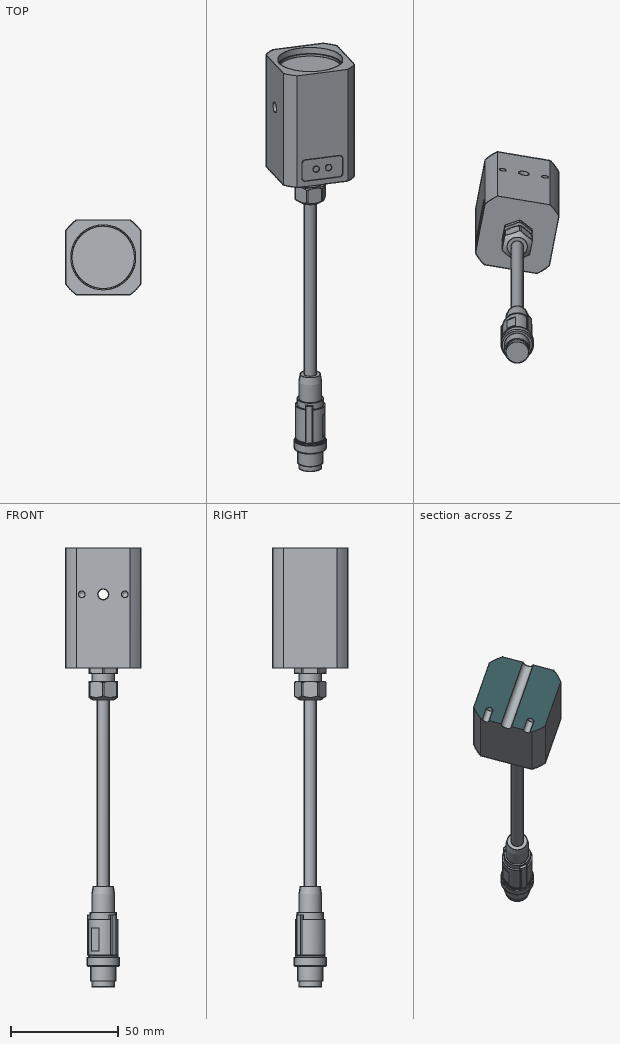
import cadquery as cq
import math

TOTAL_HEIGHT = 204.3
HOUSING_HEIGHT = 56.0
HOUSING_BOTTOM = TOTAL_HEIGHT - HOUSING_HEIGHT

HOUSING_WIDTH = 35.0
CORNER_RADIUS = 21.5
WINDOW_RADIUS = 15.1
WINDOW_MOUTH_DEPTH = 3.0
LENS_RADIUS = 14.5
LENS_DEPTH = 4.0
CROSS_HOLE_DIAMETER = 5.0
SCREW_HOLE_DIAMETER = 3.0
SCREW_HOLE_SPACING = 20.0
SCREW_HOLE_DEPTH = 6.1
DRILL_TIP_ANGLE = 118.0
HOLE_ROW_Z = TOTAL_HEIGHT - 21.7

PANEL_WIDTH = 20.0
PANEL_HEIGHT = 10.6
PANEL_CORNER = 1.6
PANEL_DEPTH = 0.5
PANEL_Z = HOUSING_BOTTOM + 8.0
LED_DIAMETER = 3.0
LED_SPACING = 6.1

GLAND_ACROSS_FLATS = 13.0
GLAND_CORNER_RADIUS = 7.4
FLANGE_HEIGHT = 2.5
NECK_RADIUS = 5.3
NECK_HEIGHT = 3.7
NUT_HEIGHT = 7.0
NUT_CHAMFER = 0.6
NUT_END_RADIUS = 4.7
NUT_TAPER_HEIGHT = 1.8
FLANGE_BOTTOM = HOUSING_BOTTOM - FLANGE_HEIGHT
NUT_TOP = FLANGE_BOTTOM - NECK_HEIGHT
NUT_BOTTOM = NUT_TOP - NUT_HEIGHT
GLAND_BOTTOM = NUT_BOTTOM - NUT_TAPER_HEIGHT

CABLE_RADIUS = 2.9
PLUG_TOP = 46.8
SLEEVE_TOP_RADIUS = 4.7
SLEEVE_RADIUS = 5.3
SLEEVE_TAPER_BOTTOM = 43.1
SHOULDER_TOP = 34.5
SHOULDER_BOTTOM = 31.5
SHOULDER_RADIUS = 6.1
BARREL_RADIUS = 7.0
BARREL_BOTTOM = 15.0
GROOVE_RADIUS = 6.5
GROOVE_BOTTOM = 14.3
COLLAR_TOP = 13.7
COLLAR_BOTTOM = 9.5
COLLAR_RADIUS = 7.5
COLLAR_CHAMFER = 0.6
NOSE_RADIUS = 6.0
NOSE_BOTTOM = 2.7
TIP_RADIUS = 5.3

LABEL_ANGLE = 234.5
LABEL_WIDTH = 4.3
LABEL_HEIGHT = 10.8
LABEL_CENTER_Z = 22.0
GRIP_OFFSET_ANGLE = 78.0
GRIP_WIDTH = 3.5
GRIP_REACH = 7.4
GRIP_TOP = 33.5
GRIP_CHAMFER = 0.5


def cylinder(radius, bottom, top):
    return cq.Workplane("XY").workplane(offset=bottom).circle(radius).extrude(top - bottom)


def turned(profile):
    """Solid of revolution about Z from (radius, height) points."""
    return cq.Workplane("XZ").polyline(profile).close().revolve(360, (0, 0, 0), (0, 1, 0))


def blind_screw_hole(x):
    """Drilled hole entering the -Y face, with a conical bottom."""
    radius = SCREW_HOLE_DIAMETER / 2
    tip_length = radius / math.tan(math.radians(DRILL_TIP_ANGLE / 2))
    profile = [(0, 0), (radius, 0), (radius, SCREW_HOLE_DEPTH), (0, SCREW_HOLE_DEPTH + tip_length)]
    drill = cq.Workplane("XY").polyline(profile).close().revolve(360, (0, 0, 0), (0, 1, 0))
    return drill.translate((x, -HOUSING_WIDTH / 2, HOLE_ROW_Z))


def indicator_panel_recess():
    """Shallow rounded recess in the -X face that leaves two round LED lenses standing."""
    panel = (
        cq.Workplane("YZ", origin=(-HOUSING_WIDTH / 2, 0, PANEL_Z))
        .rect(PANEL_WIDTH, PANEL_HEIGHT)
        .extrude(PANEL_DEPTH)
        .edges("|X")
        .fillet(PANEL_CORNER)
    )
    leds = (
        cq.Workplane("YZ", origin=(-HOUSING_WIDTH / 2, 0, PANEL_Z))
        .pushPoints([(-LED_SPACING / 2, 0), (LED_SPACING / 2, 0)])
        .circle(LED_DIAMETER / 2)
        .extrude(PANEL_DEPTH)
    )
    return panel.cut(leds)


def make_housing():
    block = (
        cq.Workplane("XY", origin=(0, 0, HOUSING_BOTTOM))
        .rect(HOUSING_WIDTH, HOUSING_WIDTH)
        .extrude(HOUSING_HEIGHT)
    )
    body = block.intersect(cylinder(CORNER_RADIUS, HOUSING_BOTTOM, TOTAL_HEIGHT))

    body = body.cut(cylinder(WINDOW_RADIUS, TOTAL_HEIGHT - WINDOW_MOUTH_DEPTH, TOTAL_HEIGHT))
    body = body.cut(cylinder(LENS_RADIUS, TOTAL_HEIGHT - LENS_DEPTH, TOTAL_HEIGHT))

    cross_hole = (
        cq.Workplane("XZ", origin=(0, 0, HOLE_ROW_Z))
        .circle(CROSS_HOLE_DIAMETER / 2)
        .extrude(HOUSING_WIDTH / 2, both=True)
    )
    body = body.cut(cross_hole)
    for side in (-1, 1):
        body = body.cut(blind_screw_hole(side * SCREW_HOLE_SPACING / 2))

    return body.cut(indicator_panel_recess())


def hexagon(bottom, top):
    """Hexagonal prism with flats facing +X and -X."""
    half_sector = math.pi / 6
    corner_diameter = GLAND_ACROSS_FLATS / math.cos(half_sector)
    prism = cq.Workplane("XY").polygon(6, corner_diameter).extrude(top - bottom)
    return prism.rotate((0, 0, 0), (0, 0, 1), math.degrees(half_sector)).translate((0, 0, bottom))


def make_gland():
    flange = hexagon(FLANGE_BOTTOM, HOUSING_BOTTOM).intersect(
        cylinder(GLAND_CORNER_RADIUS, FLANGE_BOTTOM, HOUSING_BOTTOM)
    )
    neck = cylinder(NECK_RADIUS, NUT_TOP, FLANGE_BOTTOM)
    nut_profile = [
        (0, NUT_TOP),
        (GLAND_CORNER_RADIUS - NUT_CHAMFER, NUT_TOP),
        (GLAND_CORNER_RADIUS, NUT_TOP - NUT_CHAMFER),
        (GLAND_CORNER_RADIUS, NUT_BOTTOM),
        (NUT_END_RADIUS, GLAND_BOTTOM),
        (0, GLAND_BOTTOM),
    ]
    nut_envelope = turned(nut_profile)
    nut = hexagon(GLAND_BOTTOM, NUT_TOP).intersect(nut_envelope)
    return flange.union(neck).union(nut)


def make_plug():
    profile = [
        (0, PLUG_TOP),
        (SLEEVE_TOP_RADIUS, PLUG_TOP),
        (SLEEVE_RADIUS, SLEEVE_TAPER_BOTTOM),
        (SLEEVE_RADIUS, SHOULDER_TOP),
        (SHOULDER_RADIUS, SHOULDER_TOP),
        (SHOULDER_RADIUS, SHOULDER_BOTTOM),
        (BARREL_RADIUS, SHOULDER_BOTTOM),
        (BARREL_RADIUS, BARREL_BOTTOM),
        (GROOVE_RADIUS, BARREL_BOTTOM),
        (GROOVE_RADIUS, GROOVE_BOTTOM),
        (BARREL_RADIUS, GROOVE_BOTTOM),
        (BARREL_RADIUS, COLLAR_TOP),
        (COLLAR_RADIUS, COLLAR_TOP),
        (COLLAR_RADIUS, COLLAR_BOTTOM + COLLAR_CHAMFER),
        (COLLAR_RADIUS - COLLAR_CHAMFER, COLLAR_BOTTOM),
        (NOSE_RADIUS, COLLAR_BOTTOM),
        (NOSE_RADIUS, NOSE_BOTTOM),
        (TIP_RADIUS, NOSE_BOTTOM),
        (TIP_RADIUS, 0),
        (0, 0),
    ]
    plug = turned(profile)

    flat_distance = math.sqrt(BARREL_RADIUS**2 - (LABEL_WIDTH / 2) ** 2)
    label_cutter = (
        cq.Workplane("YZ", origin=(flat_distance, 0, LABEL_CENTER_Z))
        .rect(BARREL_RADIUS, LABEL_HEIGHT)
        .extrude(BARREL_RADIUS)
        .rotate((0, 0, 0), (0, 0, 1), LABEL_ANGLE)
    )
    plug = plug.cut(label_cutter)

    for side in (-1, 1):
        rib = (
            cq.Workplane("XY", origin=(0, 0, BARREL_BOTTOM))
            .rect(GRIP_REACH, GRIP_WIDTH)
            .extrude(GRIP_TOP - BARREL_BOTTOM)
            .edges("|Z and >X")
            .chamfer(GRIP_CHAMFER)
            .translate((GRIP_REACH / 2, 0, 0))
            .rotate((0, 0, 0), (0, 0, 1), LABEL_ANGLE + side * GRIP_OFFSET_ANGLE)
        )
        plug = plug.union(rib)
    return plug


def make_cable_assembly():
    cable = cylinder(CABLE_RADIUS, PLUG_TOP, GLAND_BOTTOM)
    return make_gland().union(cable).union(make_plug())


housing = make_housing()
cable_assembly = make_cable_assembly()

result = cq.Compound.makeCompound([housing.val(), cable_assembly.val()])